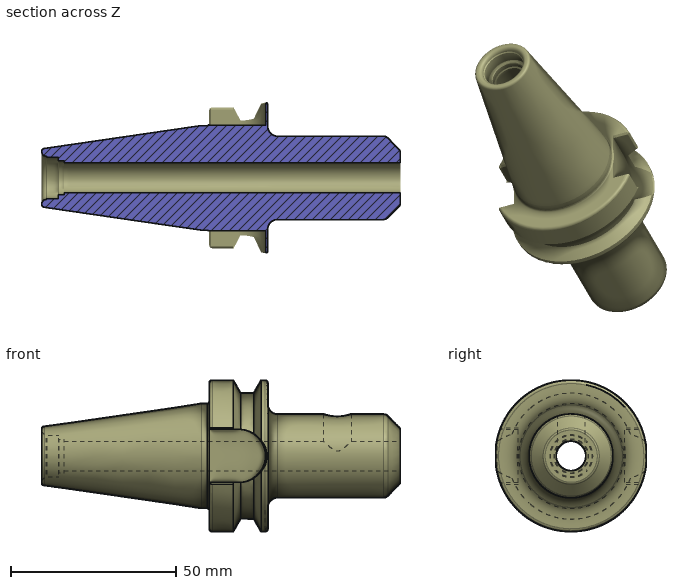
import cadquery as cq
import math

total_length = 108.7
neck_start = 48.4
flange_start = 50.8
flange_end = 68.6
groove_start = 58.1
shank_chamfer_start = 104.4

neck_radius = 31.9 / 2
taper_slope = 7 / 48
tip_radius = neck_radius - taper_slope * neck_start
flange_radius = 46.0 / 2
groove_radius = 19.1
shank_radius = 25.4 / 2
shank_end_radius = 8.3

groove_wall = (flange_radius - groove_radius) * math.tan(math.radians(30))
groove_floor_start = groove_start + groove_wall
groove_floor_length = 4.0
groove_floor_end = groove_floor_start + groove_floor_length
groove_end = groove_floor_end + groove_wall

tip_round = 0.9
neck_round = 0.5
rim_round = 1.0
shank_root_round = 2.8
shank_shoulder_round = 2.0
shank_end_round = 0.9

slot_floor = 16.1
slot_radius = 8.0
slot_center_x = 59.8
slot_chamfer = 0.5

mouth_round = 1.3
entry_diameter = 13
counterbore_diameter = 12.5
counterbore_depth = 5.0
relief_entry_diameter = 10.5
relief_diameter = 10.1
relief_end = 6.7
through_diameter = 8.9

radial_diameter = 8.4
radial_x = 89.6


def revolve_x(points):
    """Revolve a closed (x, radius) outline about the X axis."""
    outline = cq.Workplane("XY").polyline(points).close()
    return outline.revolve(360, (0, 0), (1, 0))


def round_circle(body, x, radius, size):
    """Round the circular edge at one station of the turned body."""
    reach = 0.01
    corner = (x - reach, -radius - reach, -radius - reach)
    opposite = (x + reach, radius + reach, radius + reach)
    ring = cq.selectors.BoxSelector(corner, opposite)
    matching_edges = [
        edge for edge in body.edges(ring).vals()
        if edge.geomType() == "CIRCLE" and abs(edge.radius() - radius) < reach
    ]
    return body.newObject(matching_edges).fillet(size)


def turned_body():
    body = revolve_x([
        (0, 0),
        (0, tip_radius),
        (neck_start, neck_radius),
        (flange_start, neck_radius),
        (flange_start, flange_radius),
        (groove_start, flange_radius),
        (groove_floor_start, groove_radius),
        (groove_floor_end, groove_radius),
        (groove_end, flange_radius),
        (flange_end, flange_radius),
        (flange_end, shank_radius),
        (shank_chamfer_start, shank_radius),
        (total_length, shank_end_radius),
        (total_length, 0),
    ])
    roundings = [
        (0, tip_radius, tip_round),
        (flange_start, neck_radius, neck_round),
        (flange_start, flange_radius, rim_round),
        (flange_end, flange_radius, rim_round),
        (flange_end, shank_radius, shank_root_round),
        (shank_chamfer_start, shank_radius, shank_shoulder_round),
        (total_length, shank_end_radius, shank_end_round),
    ]
    for x, radius, size in roundings:
        body = round_circle(body, x, radius, size)
    return body


def drive_slot():
    """Cutter for the slot on the +Y side, open toward the taper."""
    depth = flange_radius - slot_floor
    chamfer_end = flange_start + slot_chamfer
    mouth_half_width = slot_radius + slot_chamfer
    slot = (
        cq.Workplane("XZ", origin=(0, slot_floor, 0))
        .moveTo(flange_start, -mouth_half_width)
        .lineTo(chamfer_end, -slot_radius)
        .lineTo(slot_center_x, -slot_radius)
        .threePointArc((slot_center_x + slot_radius, 0), (slot_center_x, slot_radius))
        .lineTo(chamfer_end, slot_radius)
        .lineTo(flange_start, mouth_half_width)
        .close()
        .extrude(-depth)
    )

    edge_y = math.sqrt(flange_radius**2 - mouth_half_width**2)
    flare_start = edge_y - slot_chamfer
    flare_half_width = slot_radius + flange_radius - flare_start
    flare = (
        cq.Workplane("YZ", origin=(flange_start, 0, 0))
        .polyline([
            (flare_start, -slot_radius),
            (flange_radius, -flare_half_width),
            (flange_radius, flare_half_width),
            (flare_start, slot_radius),
        ])
        .close()
        .extrude(groove_start - flange_start)
    )

    end_flare = cq.Workplane("XY").add(cq.Solid.makeCone(
        slot_radius,
        slot_radius + slot_chamfer,
        slot_chamfer,
        pnt=cq.Vector(slot_center_x, flange_radius - slot_chamfer, 0),
        dir=cq.Vector(0, 1, 0),
    ))
    return slot.union(flare).union(end_flare)


def axial_bore():
    """Stepped bore with a rounded mouth and conical steps."""
    entry_radius = entry_diameter / 2
    counterbore_radius = counterbore_diameter / 2
    relief_entry_radius = relief_entry_diameter / 2
    relief_radius = relief_diameter / 2
    through_radius = through_diameter / 2
    relief_start = counterbore_depth + relief_entry_radius - relief_radius
    counterbore_start = mouth_round + entry_radius - counterbore_radius
    bore = revolve_x([
        (0, 0),
        (0, entry_radius),
        (mouth_round, entry_radius),
        (counterbore_start, counterbore_radius),
        (counterbore_depth, counterbore_radius),
        (counterbore_depth, relief_entry_radius),
        (relief_start, relief_radius),
        (relief_end, relief_radius),
        (relief_end, through_radius),
        (total_length, through_radius),
        (total_length, 0),
    ])
    arc_offset = mouth_round * (1 - math.sqrt(0.5))
    mouth = (
        cq.Workplane("XY")
        .moveTo(0, 0)
        .lineTo(0, entry_radius + mouth_round)
        .threePointArc((arc_offset, entry_radius + arc_offset), (mouth_round, entry_radius))
        .lineTo(mouth_round, 0)
        .close()
        .revolve(360, (0, 0), (1, 0))
    )
    return bore.union(mouth)


def radial_hole():
    """Hole from the top of the shank down to the axial bore."""
    hole = cq.Workplane("XY").center(radial_x, 0)
    return hole.circle(radial_diameter / 2).extrude(shank_radius)


slot = drive_slot()
result = turned_body()
for cutter in (slot, slot.mirror("XZ"), axial_bore(), radial_hole()):
    result = result.cut(cutter)